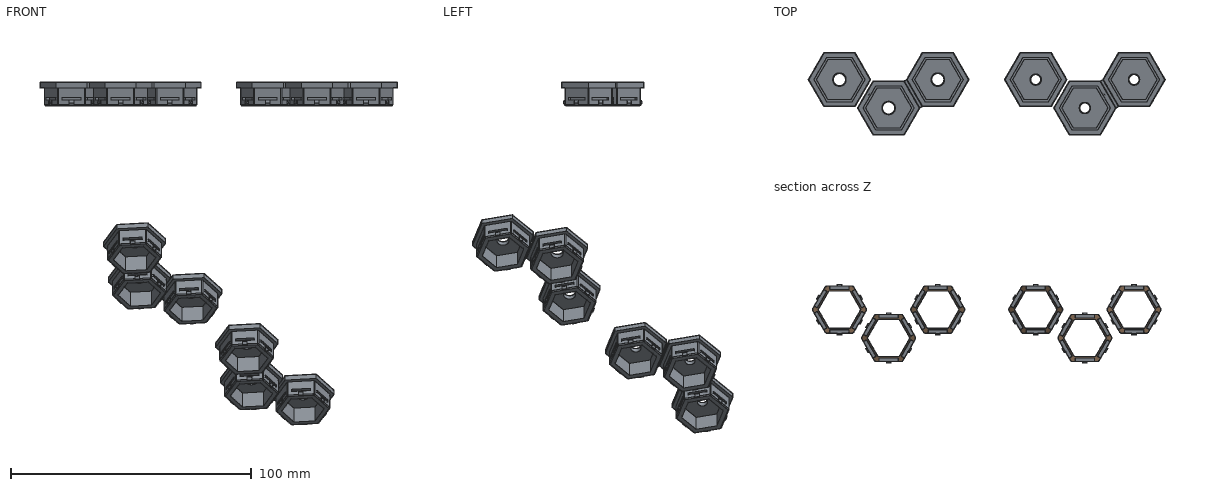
import cadquery as cq
import math

OVERALL_X = 148.3
OVERALL_Y = 34.3
HEIGHT = 10.0

CAP_THICKNESS = 2.5
CAP_CHAMFER = 0.22
CAP_GAP = 1.11
GROOVE_OUTER_FLATS = 18.4
GROOVE_WIDTH = 0.9
GROOVE_DEPTH = 0.22

STEM_FLATS = 19.7
STEM_EDGE_CHAMFER = 0.3
STEM_BOTTOM_CHAMFER = 0.5
STEM_WALL = 2.2

WIDE_BORE = 5.0
NARROW_BORE = 4.2
BORE_CHAMFER = 0.3

SLOT_LENGTH = 7.9
SLOT_DEPTH = 1.5
SLOT_TOP_Z = 3.4
SLOT_BOTTOM_Z = 2.4
BUMP_WIDTH = 2.0
BUMP_REACH = 0.6
BUMP_RADIUS = 1.5
BUMP_CREST_Z = 1.2
BUMP_BOTTOM_Z = 0.1

CORNER_RATIO = 2 / math.sqrt(3)
CAP_FLATS = (2 * OVERALL_Y - CAP_GAP) / 3
PITCH = CAP_FLATS + CAP_GAP
COLUMN_STEP = PITCH * math.cos(math.radians(30))
ROW_STEP = PITCH / 2
CAP_SIDE = CAP_FLATS / math.sqrt(3)
GROUP_SHIFT = OVERALL_X - CAP_FLATS * CORNER_RATIO - 2 * COLUMN_STEP
STEM_HEIGHT = HEIGHT - CAP_THICKNESS
FACE_ANGLES = [30 + 60 * i for i in range(6)]


def hexagon(flats, bottom_z, height):
    """Hexagonal prism with two corners on the X axis."""
    return cq.Workplane("XY").workplane(offset=bottom_z).polygon(6, flats * CORNER_RATIO).extrude(height)


def turned(shape, angle):
    """Shape rotated about the Z axis."""
    return shape.rotate((0, 0, 0), (0, 0, 1), angle)


def cap():
    """Overhanging hexagonal plate with a shallow hexagonal groove in its top."""
    plate = hexagon(CAP_FLATS, STEM_HEIGHT, CAP_THICKNESS).faces(">Z").chamfer(CAP_CHAMFER)
    groove_floor_z = HEIGHT - GROOVE_DEPTH
    groove_outline = hexagon(GROOVE_OUTER_FLATS, groove_floor_z, GROOVE_DEPTH)
    island = hexagon(GROOVE_OUTER_FLATS - 2 * GROOVE_WIDTH, groove_floor_z, GROOVE_DEPTH)
    return plate.cut(groove_outline.cut(island))


def stem():
    """Hexagonal tube with chamfered corners and bottom rim, closed above by the cap."""
    prism = hexagon(STEM_FLATS, 0, STEM_HEIGHT).edges("|Z").chamfer(STEM_EDGE_CHAMFER)
    prism = prism.faces("<Z").chamfer(STEM_BOTTOM_CHAMFER)
    return prism.cut(hexagon(STEM_FLATS - 2 * STEM_WALL, 0, STEM_HEIGHT))


def snap_slot():
    """Horizontal slot in a stem face that looks along +X."""
    return (
        cq.Workplane("XY")
        .box(SLOT_DEPTH, SLOT_LENGTH, SLOT_TOP_Z - SLOT_BOTTOM_Z, centered=(False, True, False))
        .translate((STEM_FLATS / 2 - SLOT_DEPTH, 0, SLOT_BOTTOM_Z))
    )


def snap_bump():
    """Bump below the slot: rounded upper side and sloped lead-in meeting at the crest."""
    face_x = STEM_FLATS / 2
    crest_x = face_x + BUMP_REACH
    root_x = face_x - STEM_BOTTOM_CHAMFER
    return (
        cq.Workplane("XZ")
        .moveTo(root_x, SLOT_BOTTOM_Z)
        .lineTo(face_x, SLOT_BOTTOM_Z)
        .radiusArc((crest_x, BUMP_CREST_Z), BUMP_RADIUS)
        .lineTo(face_x, BUMP_BOTTOM_Z)
        .lineTo(root_x, BUMP_BOTTOM_Z)
        .close()
        .extrude(BUMP_WIDTH / 2, both=True)
    )


def bore_cutter(diameter):
    """Through bore with a chamfered mouth in the cap top."""
    shaft = cq.Workplane("XY").circle(diameter / 2).extrude(HEIGHT)
    mouth = (
        cq.Workplane("XY")
        .workplane(offset=HEIGHT - BORE_CHAMFER)
        .circle(diameter / 2)
        .workplane(offset=BORE_CHAMFER)
        .circle(diameter / 2 + BORE_CHAMFER)
        .loft()
    )
    return shaft.union(mouth)


def tile(bore):
    """Complete hexagonal tile centred on the Z axis."""
    body = cap().union(stem())
    for angle in FACE_ANGLES:
        body = body.cut(turned(snap_slot(), angle))
        body = body.union(turned(snap_bump(), angle))
    return body.cut(bore_cutter(bore))


def bridge():
    """Bar that fills the gap between two caps, up to their top chamfer."""
    bar = cq.Workplane("XY").box(CAP_GAP, CAP_SIDE, CAP_THICKNESS - CAP_CHAMFER, centered=(True, True, False))
    return turned(bar, 30).translate((1.5 * COLUMN_STEP, -ROW_STEP / 2, STEM_HEIGHT))


def single_tile(bore):
    """One tile that stands alone, at the group origin."""
    return tile(bore)


def tile_pair(bore):
    """Two tiles on the hexagonal grid joined by a bridge into one solid."""
    lower = tile(bore).translate((COLUMN_STEP, -ROW_STEP, 0))
    upper = tile(bore).translate((2 * COLUMN_STEP, 0, 0))
    return lower.union(upper).union(bridge())


bodies = []
for bore, group_x in ((WIDE_BORE, 0), (NARROW_BORE, GROUP_SHIFT)):
    bodies.append(single_tile(bore).translate((group_x, 0, 0)).val())
    bodies.append(tile_pair(bore).translate((group_x, 0, 0)).val())

result = cq.Compound.makeCompound(bodies)